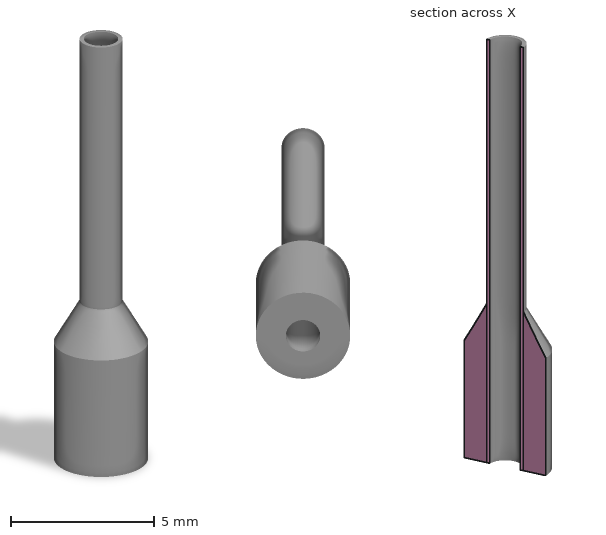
import cadquery as cq

total_length = 16.0
tube_length_exposed = 10.0
tube_outer_diameter = 1.5
tube_bore_diameter = 1.2
collar_diameter = 3.3
taper_height = 1.55

collar_height = total_length - tube_length_exposed
skirt_height = collar_height - taper_height
tube_radius = tube_outer_diameter / 2
collar_radius = collar_diameter / 2


def make_tube():
    """Straight metal tube, open at both ends, running the full length."""
    return (
        cq.Workplane("XY")
        .circle(tube_radius)
        .circle(tube_bore_diameter / 2)
        .extrude(total_length)
    )


def make_collar():
    """Insulating collar: a cylindrical skirt tapering to the tube surface, bored to fit the tube."""
    return (
        cq.Workplane("XZ")
        .moveTo(tube_radius, 0)
        .lineTo(collar_radius, 0)
        .lineTo(collar_radius, skirt_height)
        .lineTo(tube_radius, collar_height)
        .close()
        .revolve(360, (0, 0, 0), (0, 1, 0))
    )


tube = make_tube()
collar = make_collar()

result = cq.Compound.makeCompound([tube.val(), collar.val()])